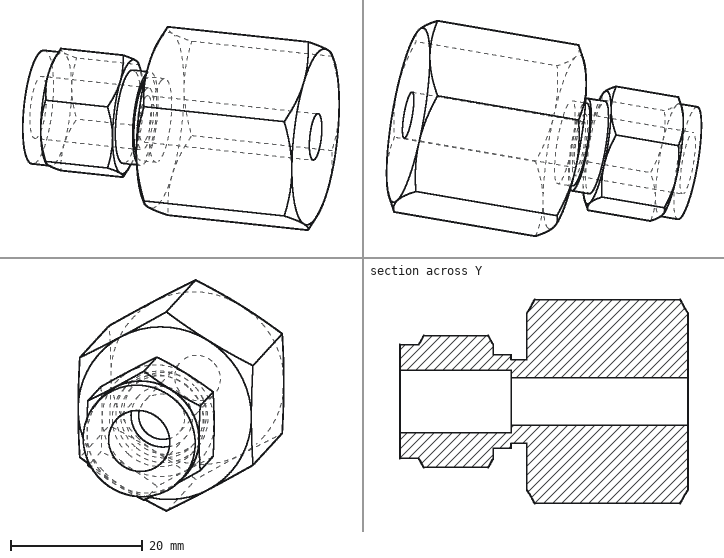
import cadquery as cq
import math

total_length = 43.95

collar_diameter = 17.45
nut_hex_flats = 17.5
nut_hex_start = 2.85
nut_hex_end = 14.25

shoulder_diameter = 14.32
shoulder_end = 16.95
neck_diameter = 12.85
body_hex_flats = 27.0
body_hex_start = 19.35

hex_sides = 6

tube_socket_diameter = 9.55
tube_socket_depth = shoulder_end
through_bore_diameter = 7.1

chamfer_angle = math.radians(30)
cone_overshoot = 1.1


def cylinder(diameter, start, end):
    """Round section along X between two stations."""
    return cq.Workplane("YZ").workplane(offset=start).circle(diameter / 2).extrude(end - start)


def chamfered_hexagon(flats, start, end):
    """Hexagon along X with corners up and down, turned to cones at both ends."""
    corner_radius = flats / 2 / math.cos(math.pi / hex_sides)
    hexagon = (
        cq.Workplane("YZ")
        .workplane(offset=start)
        .polygon(hex_sides, 2 * corner_radius)
        .extrude(end - start)
        .rotate((0, 0, 0), (1, 0, 0), 180 / hex_sides)
    )
    face_radius = flats / 2
    cone_radius = cone_overshoot * corner_radius
    cone_length = (cone_radius - face_radius) * math.tan(chamfer_angle)
    turned_blank = (
        cq.Workplane("XY")
        .moveTo(start, 0)
        .lineTo(start, face_radius)
        .lineTo(start + cone_length, cone_radius)
        .lineTo(end - cone_length, cone_radius)
        .lineTo(end, face_radius)
        .lineTo(end, 0)
        .close()
        .revolve(360, (0, 0, 0), (1, 0, 0))
    )
    return hexagon.intersect(turned_blank)


collar = cylinder(collar_diameter, 0, nut_hex_start)
nut_hex = chamfered_hexagon(nut_hex_flats, nut_hex_start, nut_hex_end)
shoulder = cylinder(shoulder_diameter, nut_hex_end, shoulder_end)
neck = cylinder(neck_diameter, shoulder_end, body_hex_start)
body_hex = chamfered_hexagon(body_hex_flats, body_hex_start, total_length)
fitting = collar.union(nut_hex).union(shoulder).union(neck).union(body_hex)

tube_socket = cylinder(tube_socket_diameter, 0, tube_socket_depth)
through_bore = cylinder(through_bore_diameter, 0, total_length)
result = fitting.cut(tube_socket).cut(through_bore)